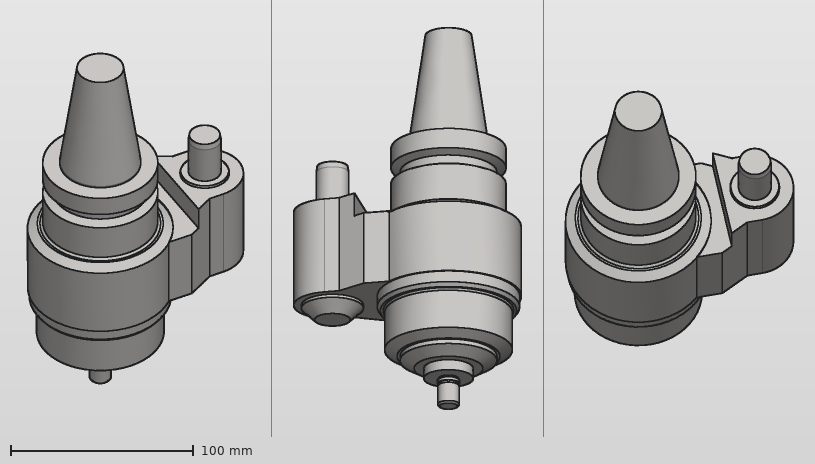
import cadquery as cq

TOTAL_HEIGHT = 216.5
BODY_DIAMETER = 79.6
BODY_BOTTOM = 64.3
SHANK_DIAMETER = 44.4
FLANGE_DIAMETER = 63.0
NECK_DIAMETER = 53.0
NOSE_DIAMETER = 70.0
LOCK_RING_DIAMETER = 78.0
COLLET_DIAMETER = 27.0
TOOL_DIAMETER = 12.0
TOOL_NECK_DIAMETER = 10.5
TOOL_BAND_DIAMETER = 12.1
TOOL_GROOVE_DIAMETER = 11.3
TOOL_CHAMFER = 1.0

SPINDLE_OUTLINE = [
    (TOOL_DIAMETER - 2 * TOOL_CHAMFER, 0.0),
    (TOOL_DIAMETER, TOOL_CHAMFER),
    (TOOL_DIAMETER, 12.0),
    (TOOL_GROOVE_DIAMETER, 12.0),
    (TOOL_GROOVE_DIAMETER, 13.2),
    (TOOL_BAND_DIAMETER, 13.2),
    (TOOL_BAND_DIAMETER, 15.1),
    (TOOL_NECK_DIAMETER, 15.1),
    (TOOL_NECK_DIAMETER, 16.2),
    (COLLET_DIAMETER, 16.2),
    (COLLET_DIAMETER, 22.0),
    (37.7, 22.0),
    (NECK_DIAMETER, 26.6),
    (NECK_DIAMETER, 29.2),
    (56.3, 29.2),
    (NOSE_DIAMETER, 33.0),
    (NOSE_DIAMETER, 54.5),
    (71.5, 55.8),
    (74.5, 55.8),
    (LOCK_RING_DIAMETER, 58.0),
    (LOCK_RING_DIAMETER, BODY_BOTTOM),
    (BODY_DIAMETER, BODY_BOTTOM),
    (BODY_DIAMETER, 104.7),
    (68.8, 108.0),
    (66.0, 108.0),
    (FLANGE_DIAMETER, 109.3),
    (FLANGE_DIAMETER, 129.8),
    (NECK_DIAMETER, 132.0),
    (NECK_DIAMETER, 136.8),
    (FLANGE_DIAMETER, 139.1),
    (FLANGE_DIAMETER, 150.5),
    (SHANK_DIAMETER, 150.5),
    (SHANK_DIAMETER, 151.5),
    (25.5, TOTAL_HEIGHT),
]

PIN_Y = 65.0
ARM_RADIUS = 21.2
ARM_TOP = 118.5
ARM_STEP_Y = 46.7
ARM_STEP_TOP = 105.4
ARM_FLANK_END_Y = 56.5
ARM_ROOT_Y = 41.0
ARM_ROOT_HALF_WIDTH = 29.6

PIN_DIAMETER = 18.0
PIN_TIP_DIAMETER = 16.9
PIN_TOP = 145.2
PIN_COLLAR_DIAMETER = 27.0
PIN_COLLAR_TOP = 119.9
PIN_CAP_DIAMETER = 34.0
PIN_CAP_BOTTOM = 55.8
PIN_OUTLINE = [
    (19.5, PIN_CAP_BOTTOM),
    (PIN_CAP_DIAMETER, 62.5),
    (PIN_CAP_DIAMETER, BODY_BOTTOM),
    (PIN_COLLAR_DIAMETER, BODY_BOTTOM),
    (PIN_COLLAR_DIAMETER, ARM_TOP),
    (26.2, PIN_COLLAR_TOP),
    (PIN_DIAMETER, PIN_COLLAR_TOP),
    (PIN_DIAMETER, 142.0),
    (PIN_TIP_DIAMETER, PIN_TOP),
]


def turned(outline):
    """Revolve a (diameter, height) outline about the Z axis."""
    bottom = outline[0][1]
    top = outline[-1][1]
    points = [(diameter / 2, height) for diameter, height in outline]
    profile = cq.Workplane("XZ").polyline([(0, bottom)] + points + [(0, top)]).close()
    return profile.revolve(360, (0, 0, 0), (0, 1, 0))


def side_arm():
    """Round-ended arm that widens toward the body and steps down beside it."""
    arm = (
        cq.Workplane("XY", origin=(0, 0, BODY_BOTTOM))
        .moveTo(-ARM_ROOT_HALF_WIDTH, 0)
        .lineTo(-ARM_ROOT_HALF_WIDTH, ARM_ROOT_Y)
        .lineTo(-ARM_RADIUS, ARM_FLANK_END_Y)
        .lineTo(-ARM_RADIUS, PIN_Y)
        .threePointArc((0, PIN_Y + ARM_RADIUS), (ARM_RADIUS, PIN_Y))
        .lineTo(ARM_RADIUS, ARM_FLANK_END_Y)
        .lineTo(ARM_ROOT_HALF_WIDTH, ARM_ROOT_Y)
        .lineTo(ARM_ROOT_HALF_WIDTH, 0)
        .close()
        .extrude(ARM_TOP - BODY_BOTTOM)
    )
    step = (
        cq.Workplane("XY", origin=(0, 0, ARM_STEP_TOP))
        .rect(2 * BODY_DIAMETER, 2 * ARM_STEP_Y)
        .extrude(ARM_TOP - ARM_STEP_TOP)
    )
    body_bore = (
        cq.Workplane("XY", origin=(0, 0, BODY_BOTTOM))
        .circle(BODY_DIAMETER / 2)
        .extrude(ARM_TOP - BODY_BOTTOM)
    )
    return arm.cut(step).cut(body_bore)


spindle = turned(SPINDLE_OUTLINE)
pin = turned(PIN_OUTLINE).translate((0, PIN_Y, 0))
result = spindle.union(side_arm()).union(pin)